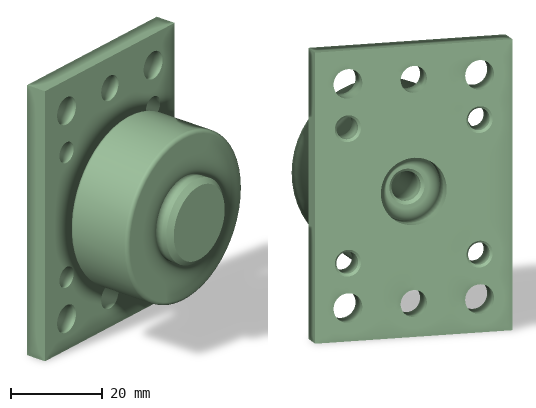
import cadquery as cq

plate_thickness = 5.0
plate_width = 45.0
plate_height = 65.0

overall_length = 30.0
pin_diameter = 20.0
pin_chamfer = 1.2
roller_gap = 5.0
roller_width = 16.0
roller_diameter = 40.0
roller_edge_radius = 0.85

hole_offset_y = 15.0
outer_row_z = 25.0
inner_row_z = 15.0
corner_hole_diameter = 6.55
middle_hole_diameter = 6.0
threaded_hole_diameter = 4.95
threaded_hole_mouth = 6.0

recess_diameter = 15.0
recess_depth = 5.0
pin_hole_diameter = 6.6
pin_hole_mouth = 8.0
pin_hole_depth = 15.0


def x_cylinder(diameter, start, length, y=0, z=0):
    """Cylinder along +X, starting at x = start."""
    return cq.Workplane("YZ", origin=(start, y, z)).circle(diameter / 2).extrude(length)


def threaded_hole(diameter, mouth, start, length, y=0, z=0):
    """Hole cutter along +X with a 45 degree countersink at its start."""
    countersink = (mouth - diameter) / 2
    mouth_cone = cq.Solid.makeCone(
        mouth / 2, diameter / 2, countersink, cq.Vector(start, y, z), cq.Vector(1, 0, 0)
    )
    return x_cylinder(diameter, start, length, y, z).union(cq.Workplane(mouth_cone))


plate = cq.Workplane("YZ").rect(plate_width, plate_height).extrude(plate_thickness)

pin = x_cylinder(pin_diameter, 0, overall_length).faces(">X").chamfer(pin_chamfer)

roller = x_cylinder(roller_diameter, plate_thickness + roller_gap, roller_width)
roller = roller.edges().fillet(roller_edge_radius)

result = plate.union(pin).union(roller)

for side_z in (-1, 1):
    outer_z = side_z * outer_row_z
    result = result.cut(x_cylinder(middle_hole_diameter, 0, plate_thickness, 0, outer_z))
    for side_y in (-1, 1):
        y = side_y * hole_offset_y
        result = result.cut(x_cylinder(corner_hole_diameter, 0, plate_thickness, y, outer_z))
        result = result.cut(
            threaded_hole(
                threaded_hole_diameter, threaded_hole_mouth, 0, plate_thickness, y, side_z * inner_row_z
            )
        )

result = result.cut(x_cylinder(recess_diameter, 0, recess_depth))
result = result.cut(threaded_hole(pin_hole_diameter, pin_hole_mouth, recess_depth, pin_hole_depth))